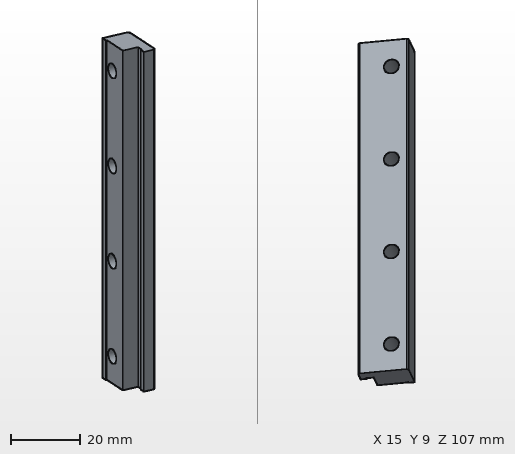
import cadquery as cq

length = 107.0
width = 15.0
depth = 9.0

body_width = 11.0
flange_thickness = 3.5
lip_height = 0.4
lip_width = 1.8
pad_width = 1.9
pad_height = 0.3
back_chamfer = 0.5

hole_diameter = 4.5
hole_x = 5.0
hole_count = 4
hole_pitch = 30.0


def rail_body():
    """Hooked profile extruded along Z, with a raised pad along the front left edge."""
    flange_face = depth - flange_thickness
    lip_face = flange_face - lip_height
    lip_start = width - lip_width
    profile = [
        (0, 0),
        (pad_width, 0),
        (pad_width, pad_height),
        (body_width, pad_height),
        (body_width, flange_face),
        (lip_start, flange_face),
        (lip_start, lip_face),
        (width, lip_face),
        (width, depth - back_chamfer),
        (width - back_chamfer, depth),
        (back_chamfer, depth),
        (0, depth - back_chamfer),
    ]
    return cq.Workplane("XY").polyline(profile).close().extrude(length)


def mounting_holes():
    """Cylinders through the full depth, centred as a row along the length."""
    first_z = (length - (hole_count - 1) * hole_pitch) / 2
    centers = [(hole_x, first_z + i * hole_pitch) for i in range(hole_count)]
    return cq.Workplane("XZ").pushPoints(centers).circle(hole_diameter / 2).extrude(-depth)


result = rail_body().cut(mounting_holes())